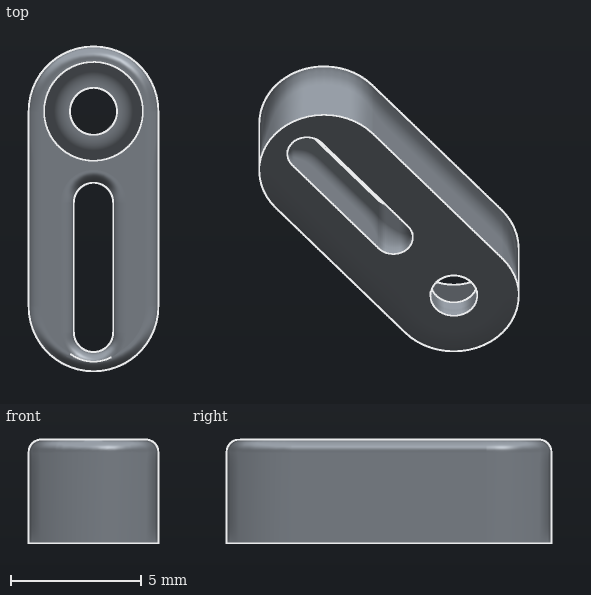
import cadquery as cq

body_width = 5.0
body_length = 12.5
body_height = 4.0
edge_radius = 0.5

counterbore_diameter = 3.8
counterbore_depth = 3.0
hole_diameter = 1.8
hole_y = (body_length - body_width) / 2

slot_width = 1.5
slot_length = 6.5
slot_end_wall = 0.75
slot_y = -body_length / 2 + slot_end_wall + slot_length / 2


def rounded_body():
    """Bar with semicircular ends and a rounded top rim."""
    bar = cq.Workplane("XY").slot2D(body_length, body_width, 90).extrude(body_height)
    return bar.faces(">Z").edges().fillet(edge_radius)


def slotted_block():
    """Oversized block with the slot cut through it and the slot mouth rounded.

    The slot mouth rounding overlaps the rim rounding at the -Y end, so the two
    are made on separate solids that are then intersected.
    """
    block = cq.Workplane("XY").box(
        2 * body_width, 2 * body_length, body_height, centered=(True, True, False)
    )
    slot = (
        cq.Workplane("XY")
        .center(0, slot_y)
        .slot2D(slot_length, slot_width, 90)
        .extrude(body_height)
    )
    mouth_edges = cq.selectors.BoxSelector(
        (-slot_width, slot_y - slot_length, body_height - edge_radius / 2),
        (slot_width, slot_y + slot_length, body_height + edge_radius / 2),
    )
    return block.cut(slot).edges(mouth_edges).fillet(edge_radius)


def cut_counterbored_hole(part):
    """Through hole with a deep flat-bottomed counterbore from the top."""
    return (
        part.faces(">Z")
        .workplane(origin=(0, hole_y, body_height))
        .cboreHole(hole_diameter, counterbore_diameter, counterbore_depth)
    )


result = cut_counterbored_hole(rounded_body().intersect(slotted_block()))